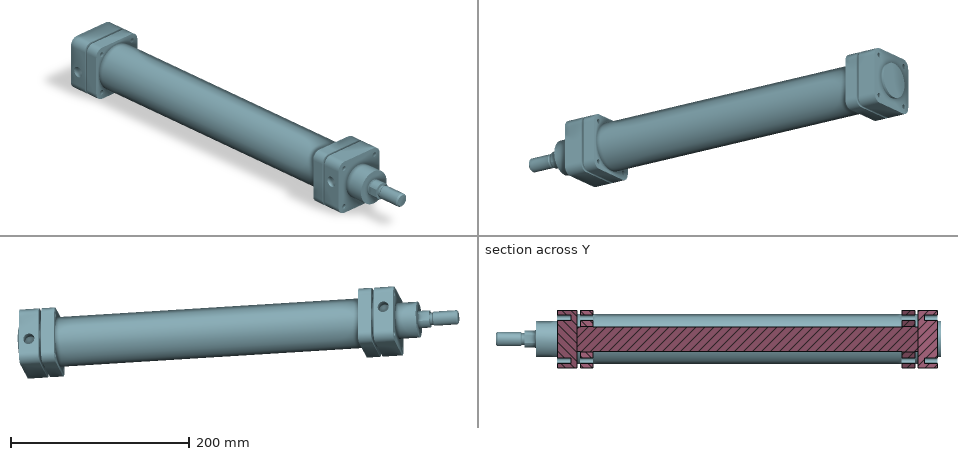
import cadquery as cq

overall_length = 499.0
block_side = 65.0
block_corner_radius = 9.5
rear_boss_length = 3.5
cap_length = 22.5
gap_length = 3.0
flange_length = 15.0
barrel_diameter = 56.0
barrel_length = 382.0
boss_diameter = 40.5
front_boss_length = 23.5

screw_hole_diameter = 5.5
screw_hole_offset = 24.0
cap_screw_depth = 15.0
port_diameter = 12.5
port_depth = 10.0
port_setback = 11.5
port_height = 6.0

collar_diameter = 20.0
collar_length = 1.5
rod_diameter = 19.5
rod_flat_length = 11.5
rod_across_flats = 17.0
relief_diameter = 14.0
relief_length = 3.0
thread_diameter = 16.0
thread_chamfer = 1.5

barrel_start = rear_boss_length + cap_length
barrel_end = barrel_start + barrel_length
rear_flange_start = barrel_start + gap_length
front_flange_start = barrel_end - gap_length - flange_length
rod_start = barrel_end + cap_length + front_boss_length
flats_start = rod_start + collar_length
relief_start = flats_start + rod_flat_length
thread_start = relief_start + relief_length


def cylinder(start, length, diameter):
    """Round bar along X; a negative length runs toward -X."""
    return cq.Workplane("YZ", origin=(start, 0, 0)).circle(diameter / 2).extrude(length)


def block(start, length):
    """Square block with rounded long edges."""
    body = cq.Workplane("YZ", origin=(start, 0, 0)).rect(block_side, block_side).extrude(length)
    return body.edges("|X").fillet(block_corner_radius)


def screw_holes(start, length):
    """Cutting tool for the four corner screw holes; a negative length runs toward -X."""
    return (
        cq.Workplane("YZ", origin=(start, 0, 0))
        .rect(2 * screw_hole_offset, 2 * screw_hole_offset, forConstruction=True)
        .vertices()
        .circle(screw_hole_diameter / 2)
        .extrude(length)
    )


def make_cap(inner_x, outward, boss_length, port_z):
    """End cap with a round boss and blind screw holes on its outer face, and a port in its -Y side.

    outward is +1 when the outer face looks toward +X and -1 when it looks toward -X.
    """
    outer_x = inner_x + outward * cap_length
    boss = cylinder(outer_x, outward * boss_length, boss_diameter)
    port = (
        cq.Workplane("XZ", origin=(outer_x - outward * port_setback, -block_side / 2, port_z))
        .circle(port_diameter / 2)
        .extrude(-port_depth)
    )
    cap = block(inner_x, outward * cap_length).union(boss)
    return cap.cut(port).cut(screw_holes(outer_x, -outward * cap_screw_depth))


def make_flange(start):
    """Square flange around the barrel, with its screw holes right through."""
    barrel_hole = cylinder(start, flange_length, barrel_diameter)
    return block(start, flange_length).cut(barrel_hole).cut(screw_holes(start, flange_length))


def make_barrel():
    """Plain round barrel that passes through both flanges and ends at the caps."""
    return cylinder(barrel_start, barrel_length, barrel_diameter)


def make_rod():
    """Rod end: collar, two wrench flats facing -Y and +Y, thread relief and threaded tip."""
    collar = cylinder(rod_start, collar_length, collar_diameter)
    between_flats = (
        cq.Workplane("YZ", origin=(flats_start, 0, 0))
        .rect(rod_across_flats, rod_diameter)
        .extrude(rod_flat_length)
    )
    flats = cylinder(flats_start, rod_flat_length, rod_diameter).intersect(between_flats)
    relief = cylinder(relief_start, relief_length, relief_diameter)
    thread = cylinder(thread_start, overall_length - thread_start, thread_diameter)
    thread = thread.edges("%CIRCLE").chamfer(thread_chamfer)
    return collar.union(flats).union(relief).union(thread)


rear_cap = make_cap(barrel_start, -1, rear_boss_length, -port_height)
front_cap = make_cap(barrel_end, 1, front_boss_length, port_height)
flanges = [make_flange(start) for start in (rear_flange_start, front_flange_start)]
barrel = make_barrel()
rod = make_rod()

result = cq.Compound.makeCompound(
    [rear_cap.val(), front_cap.val(), *[flange.val() for flange in flanges], barrel.val(), rod.val()]
)